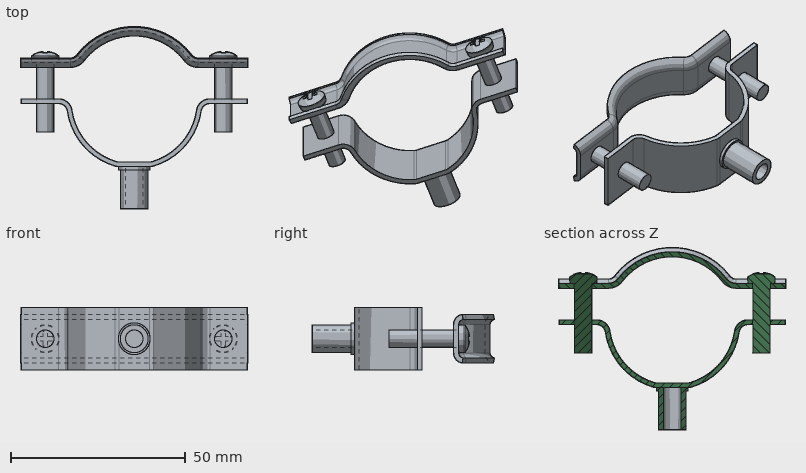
import cadquery as cq
import math


ring_inner_radius = 18.0
bolt_spacing = 50.95
bolt_diameter = 5.0

strap_width = 64.8
strap_height = 18.0
strap_thickness = 1.35
strap_ring_outer_radius = ring_inner_radius + strap_thickness
ear_bend_radius = 3.85
seat_half_width = 4.4
seat_bend_radius = 3.9
ear_top_y = strap_thickness / 2

ear_gap = 9.0
bow_width = 65.0
bow_thickness = 1.5
bow_web_half_height = 4.0
bow_flange_radius = 3.0
bow_flange_angle = 80.0
bow_bend_radius = 5.0
bow_ring_y = ear_top_y
bow_web_y = ear_top_y + ear_gap

bolt_length = 19.95
head_diameter = 8.0
head_base_diameter = 7.7
head_underside_height = 1.35
head_rim_height = 0.4
head_dome_height = 1.4
cross_slot_width = 1.3
cross_slot_depth = 0.4

spigot_length = 12.1
spigot_diameter = 8.0
spigot_bore = bolt_diameter
collar_diameter = 9.1
collar_height = 1.0

ear_bend_y = ear_top_y - ear_bend_radius
ear_bend_x = math.sqrt((ring_inner_radius + ear_bend_radius) ** 2 - ear_bend_y ** 2)
seat_bend_y = -math.sqrt((strap_ring_outer_radius - seat_bend_radius) ** 2 - seat_half_width ** 2)
seat_y = seat_bend_y - seat_bend_radius
bow_bend_y = bow_web_y + bow_bend_radius
bow_bend_rise = bow_bend_y - bow_ring_y
bow_bend_x = math.sqrt((ring_inner_radius + bow_bend_radius) ** 2 - bow_bend_rise ** 2)


def polar(centre, radius, angle):
    """Point at a radius and an angle in degrees from a centre."""
    turn = math.radians(angle)
    return centre[0] + radius * math.cos(turn), centre[1] + radius * math.sin(turn)


def bolt_holes(y_from, y_to):
    """Cylinders along Y, one at each bolt place."""
    return (
        cq.Workplane("XZ", origin=(0, y_to, 0))
        .pushPoints([(-bolt_spacing / 2, 0), (bolt_spacing / 2, 0)])
        .circle(bolt_diameter / 2)
        .extrude(y_to - y_from)
    )


def make_strap():
    """Bent flat strap: ear, bend, ring, bend and half of the seat, mirrored about X = 0."""
    ear_bend = (ear_bend_x, ear_bend_y)
    seat_bend = (seat_half_width, seat_bend_y)
    ear_bend_inner = ear_bend_radius - strap_thickness
    seat_bend_inner = seat_bend_radius - strap_thickness
    ear_join = math.degrees(math.atan2(ear_bend_y, ear_bend_x))
    seat_join = math.degrees(math.atan2(seat_bend_y, seat_half_width))
    ring_middle = (ear_join + seat_join) / 2
    ear_bend_middle = (90 + 180 + ear_join) / 2
    seat_bend_middle = (seat_join - 90) / 2
    ear_end = strap_width / 2
    ring = (0, 0)

    half = (
        cq.Workplane("XY", origin=(0, 0, -strap_height / 2))
        .moveTo(0, seat_y)
        .lineTo(seat_half_width, seat_y)
        .threePointArc(polar(seat_bend, seat_bend_radius, seat_bend_middle),
                       polar(ring, strap_ring_outer_radius, seat_join))
        .threePointArc(polar(ring, strap_ring_outer_radius, ring_middle),
                       polar(ring, strap_ring_outer_radius, ear_join))
        .threePointArc(polar(ear_bend, ear_bend_inner, ear_bend_middle),
                       (ear_bend_x, ear_top_y - strap_thickness))
        .lineTo(ear_end, ear_top_y - strap_thickness)
        .lineTo(ear_end, ear_top_y)
        .lineTo(ear_bend_x, ear_top_y)
        .threePointArc(polar(ear_bend, ear_bend_radius, ear_bend_middle),
                       polar(ring, ring_inner_radius, ear_join))
        .threePointArc(polar(ring, ring_inner_radius, ring_middle),
                       polar(ring, ring_inner_radius, seat_join))
        .threePointArc(polar(seat_bend, seat_bend_inner, seat_bend_middle),
                       (seat_half_width, seat_y + strap_thickness))
        .lineTo(0, seat_y + strap_thickness)
        .close()
        .extrude(strap_height)
    )
    strap = half.union(half.mirror("YZ"))
    return strap.cut(bolt_holes(ear_top_y - strap_thickness, ear_top_y))


def channel_section(plane, web_position, direction):
    """Channel profile with its web face at web_position and its flanges curling in direction."""
    inner_radius = bow_flange_radius - bow_thickness

    def point(radius, angle, side):
        turn = math.radians(angle)
        depth = bow_flange_radius - radius * math.cos(turn)
        height = bow_web_half_height + radius * math.sin(turn)
        return web_position + direction * depth, side * height

    tip = bow_flange_angle
    return (
        plane
        .moveTo(*point(bow_flange_radius, 0, -1))
        .lineTo(*point(bow_flange_radius, 0, 1))
        .threePointArc(point(bow_flange_radius, tip / 2, 1), point(bow_flange_radius, tip, 1))
        .lineTo(*point(inner_radius, tip, 1))
        .threePointArc(point(inner_radius, tip / 2, 1), point(inner_radius, 0, 1))
        .lineTo(*point(inner_radius, 0, -1))
        .threePointArc(point(inner_radius, tip / 2, -1), point(inner_radius, tip, -1))
        .lineTo(*point(bow_flange_radius, tip, -1))
        .threePointArc(point(bow_flange_radius, tip / 2, -1), point(bow_flange_radius, 0, -1))
        .close()
    )


def channel_arc(centre, web_radius, direction, start_angle, sweep):
    """Channel turned about a line parallel to Z through the centre."""
    arc = channel_section(cq.Workplane("XZ"), web_radius, direction)
    arc = arc.revolve(sweep, (0, 0), (0, 1))
    return arc.rotate((0, 0, 0), (0, 0, 1), start_angle).translate((*centre, 0))


def channel_ear(x_from, x_to):
    """Straight length of channel along X."""
    plane = cq.Workplane("YZ", origin=(x_from, 0, 0))
    return channel_section(plane, bow_web_y, 1).extrude(x_to - x_from)


def make_bow():
    """Channel-section bow: ear, bend, ring, bend and ear."""
    join = math.degrees(math.atan2(bow_bend_rise, bow_bend_x))
    bend_sweep = 90 - join
    bow = channel_arc((0, bow_ring_y), ring_inner_radius, 1, join, 180 - 2 * join)
    bow = bow.union(channel_arc((bow_bend_x, bow_bend_y), bow_bend_radius, -1, 180 + join, bend_sweep))
    bow = bow.union(channel_arc((-bow_bend_x, bow_bend_y), bow_bend_radius, -1, 270, bend_sweep))
    bow = bow.union(channel_ear(bow_bend_x, bow_width / 2))
    bow = bow.union(channel_ear(-bow_width / 2, -bow_bend_x))
    return bow.cut(bolt_holes(bow_web_y, bow_web_y + bow_thickness))


def make_bolt(x):
    """Bolt along Y with a domed head and a cross slot; the head rests on the bow's web."""
    seat = bow_web_y + bow_thickness
    rim_bottom = seat + head_underside_height
    rim_top = rim_bottom + head_rim_height
    dome_top = rim_top + head_dome_height
    head_radius = head_diameter / 2
    dome_radius = (head_radius ** 2 + head_dome_height ** 2) / (2 * head_dome_height)
    dome_centre = (0, dome_top - dome_radius)
    base_inset = (head_diameter - head_base_diameter) / 2
    underside_radius = (base_inset ** 2 + head_underside_height ** 2) / (2 * base_inset)
    underside_centre = (head_radius - underside_radius, rim_bottom)
    underside_drop = math.degrees(math.asin(head_underside_height / underside_radius))
    dome_edge = math.degrees(math.acos(head_radius / dome_radius))

    bolt = (
        cq.Workplane("XY")
        .moveTo(0, seat - bolt_length)
        .lineTo(bolt_diameter / 2, seat - bolt_length)
        .lineTo(bolt_diameter / 2, seat)
        .lineTo(head_base_diameter / 2, seat)
        .threePointArc(polar(underside_centre, underside_radius, -underside_drop / 2),
                       (head_radius, rim_bottom))
        .lineTo(head_radius, rim_top)
        .threePointArc(polar(dome_centre, dome_radius, (90 + dome_edge) / 2), (0, dome_top))
        .close()
        .revolve(360, (0, 0), (0, 1))
    )
    slot_plane = cq.Workplane("XZ", origin=(0, dome_top, 0))
    for length, height in [(head_diameter, cross_slot_width), (cross_slot_width, head_diameter)]:
        bolt = bolt.cut(slot_plane.rect(length, height).extrude(cross_slot_depth))
    return bolt.translate((x, 0, 0))


def make_spigot():
    """Collared tube standing on the strap's seat and pointing along -Y."""
    plane = cq.Workplane("XZ", origin=(0, seat_y, 0))
    collar = plane.circle(collar_diameter / 2).extrude(collar_height)
    tube = plane.circle(spigot_diameter / 2).extrude(spigot_length)
    bore = plane.circle(spigot_bore / 2).extrude(spigot_length)
    return collar.union(tube).cut(bore)


strap = make_strap()
bow = make_bow()
bolts = [make_bolt(x) for x in (-bolt_spacing / 2, bolt_spacing / 2)]
spigot = make_spigot()

result = cq.Compound.makeCompound(
    [strap.val(), bow.val(), *[bolt.val() for bolt in bolts], spigot.val()]
)